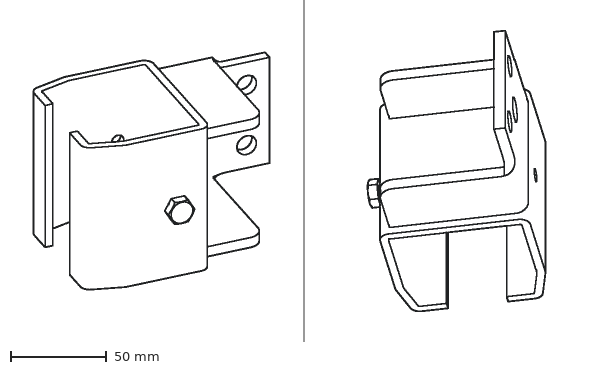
import cadquery as cq
import math


CLAMP_WIDTH = 80.0
CLAMP_DEPTH = 70.0
CLAMP_HEIGHT = 85.0
CLAMP_THICKNESS = 4.5
CLAMP_BEND_RADIUS = 5.5
STRAIGHT_SIDE_DEPTH = 48.5
KINK_ANGLE = math.radians(15)
FRONT_SLOT_WIDTH = 32.0

SCREW_DIAMETER = 8.0
SCREW_TIP_CHAMFER = 1.2
SCREW_DEPTH = 20.0
SIDE_SCREW_LENGTH = 9.8
HEAD_ACROSS_FLATS = 13.0
HEAD_THICKNESS = 5.3
HEAD_GAP = 3.0
HEAD_CHAMFER_ANGLE = math.radians(30)
HEAD_FACE_DIAMETER = 12.5
BACK_SCREW_PROTRUSION = 3.1
TAPPED_HOLE_DIAMETER = 6.8

OVERALL_LENGTH = 136.0
PLATE_LENGTH = OVERALL_LENGTH - CLAMP_DEPTH
PLATE_THICKNESS = 6.0
PLATE_BEND_RADIUS = 6.7
BRACKET_HEIGHT = 76.7
FLANGE_WIDTH = 74.0
FLANGE_LENGTH = 33.2
FLANGE_CORNER_RADIUS = 8.0
RELIEF_RADIUS = 8.0
SMALL_HOLE_DIAMETER = 11.0
SMALL_HOLE_SPACING = 36.0
SMALL_HOLE_END_DISTANCE = 13.0
LARGE_HOLE_DIAMETER = 13.0
LARGE_HOLE_END_DISTANCE = 27.2

LEFT = -CLAMP_WIDTH / 2
RIGHT = CLAMP_WIDTH / 2

BEND_LENGTH = (PLATE_BEND_RADIUS - PLATE_THICKNESS / 2) * math.pi / 2
RELIEF_END = FLANGE_LENGTH + RELIEF_RADIUS
RELIEF_CURVE_POINTS = 13
RELIEF_CLEARANCE = 0.3


def make_clamp_shell():
    """Rounded hexagonal tube with the front slot cut out."""
    lip_inset = (CLAMP_DEPTH - STRAIGHT_SIDE_DEPTH) * math.tan(KINK_ANGLE)
    corners = [
        (LEFT, 0),
        (LEFT, -STRAIGHT_SIDE_DEPTH),
        (LEFT + lip_inset, -CLAMP_DEPTH),
        (RIGHT - lip_inset, -CLAMP_DEPTH),
        (RIGHT, -STRAIGHT_SIDE_DEPTH),
        (RIGHT, 0),
    ]
    base = cq.Workplane("XY").workplane(offset=-CLAMP_HEIGHT / 2)
    outside = base.polyline(corners).close().extrude(CLAMP_HEIGHT).edges("|Z").fillet(CLAMP_BEND_RADIUS)
    outline = outside.faces("<Z").wires().val()
    inside = base.add(outline.offset2D(-CLAMP_THICKNESS)).toPending().extrude(CLAMP_HEIGHT)
    front_slot = cq.Workplane("XY").box(FRONT_SLOT_WIDTH, 2 * CLAMP_THICKNESS, CLAMP_HEIGHT)
    return outside.cut(inside).cut(front_slot.translate((0, -CLAMP_DEPTH, 0)))


def make_screw_shank(length):
    """Shank along +Z with its chamfered tip at the origin."""
    shank = cq.Workplane("XY").circle(SCREW_DIAMETER / 2).extrude(length)
    return shank.faces("<Z").chamfer(SCREW_TIP_CHAMFER)


def make_screw_head():
    """Hexagonal head along +Z, two corners on the Y axis, outer corners bevelled by a cone."""
    across_corners = HEAD_ACROSS_FLATS / math.cos(math.pi / 6)
    bevel_depth = (across_corners - HEAD_FACE_DIAMETER) / 2 * math.tan(HEAD_CHAMFER_ANGLE)
    hexagon = cq.Workplane("XY").polygon(6, across_corners).extrude(HEAD_THICKNESS)
    hexagon = hexagon.rotate((0, 0, 0), (0, 0, 1), 90)
    envelope = (
        cq.Workplane("XZ")
        .moveTo(0, 0)
        .lineTo(across_corners / 2, 0)
        .lineTo(across_corners / 2, HEAD_THICKNESS - bevel_depth)
        .lineTo(HEAD_FACE_DIAMETER / 2, HEAD_THICKNESS)
        .lineTo(0, HEAD_THICKNESS)
        .close()
        .revolve(360, (0, 0), (0, 1))
    )
    return hexagon.intersect(envelope)


def make_side_screw():
    """Headed screw through the right side wall, tip pointing to -X."""
    screw = make_screw_shank(SIDE_SCREW_LENGTH)
    screw = screw.union(make_screw_head().translate((0, 0, SIDE_SCREW_LENGTH)))
    tip_x = RIGHT + HEAD_GAP - SIDE_SCREW_LENGTH
    return screw.rotate((0, 0, 0), (0, 1, 0), 90).translate((tip_x, -SCREW_DEPTH, 0))


def make_back_screw():
    """Screw end through the back wall, tip pointing to -Y and flush with the outer back face."""
    length = CLAMP_THICKNESS + BACK_SCREW_PROTRUSION
    return make_screw_shank(length).rotate((0, 0, 0), (1, 0, 0), -90).translate((0, -length, 0))


def make_rail_clamp():
    tapped_hole = (
        cq.Workplane("YZ", origin=(LEFT, 0, 0))
        .center(-SCREW_DEPTH, 0)
        .circle(TAPPED_HOLE_DIAMETER / 2)
        .extrude(CLAMP_THICKNESS)
    )
    return make_clamp_shell().cut(tapped_hole).union(make_side_screw()).union(make_back_screw())


def relief_height(distance):
    """Y of the relief arc at a distance along the flat sheet from the start of the bend."""
    across = RELIEF_RADIUS - distance
    return RELIEF_END - math.sqrt(RELIEF_RADIUS**2 - across**2)


def make_bracket_channel():
    """U section with both flanges, as long as the bend relief reaches."""
    channel = (
        cq.Workplane("XY")
        .box(FLANGE_WIDTH, RELIEF_END, BRACKET_HEIGHT, centered=(False, False, True))
        .translate((LEFT, 0, 0))
        .edges("|Y and <X")
        .fillet(PLATE_BEND_RADIUS)
    )
    hollow = (
        cq.Workplane("XY")
        .box(FLANGE_WIDTH, RELIEF_END, BRACKET_HEIGHT - 2 * PLATE_THICKNESS, centered=(False, False, True))
        .translate((LEFT + PLATE_THICKNESS, 0, 0))
        .edges("|Y and <X")
        .fillet(PLATE_BEND_RADIUS - PLATE_THICKNESS)
    )
    return channel.cut(hollow)


def make_flange_end_cutter():
    """Waste beyond the flange ends, leaving a rounded free corner and the end of the relief arc."""
    flange_end = LEFT + FLANGE_WIDTH
    bend_line = LEFT + PLATE_BEND_RADIUS
    bend_end_y = relief_height(BEND_LENGTH)
    middle_of_runout = (BEND_LENGTH + RELIEF_RADIUS) / 2
    return (
        cq.Workplane("XY")
        .workplane(offset=-BRACKET_HEIGHT / 2)
        .moveTo(bend_line, RELIEF_END)
        .lineTo(bend_line, bend_end_y)
        .threePointArc(
            (bend_line + middle_of_runout - BEND_LENGTH, relief_height(middle_of_runout)),
            (bend_line + RELIEF_RADIUS - BEND_LENGTH, FLANGE_LENGTH),
        )
        .lineTo(flange_end - FLANGE_CORNER_RADIUS, FLANGE_LENGTH)
        .radiusArc((flange_end, FLANGE_LENGTH - FLANGE_CORNER_RADIUS), FLANGE_CORNER_RADIUS)
        .lineTo(flange_end, RELIEF_END)
        .close()
        .extrude(BRACKET_HEIGHT)
    )


def make_bend_relief():
    """Cutter for the upper bend: the relief arc wrapped round the bend, swept towards +Y."""
    axis_x = LEFT + PLATE_BEND_RADIUS
    axis_z = BRACKET_HEIGHT / 2 - PLATE_BEND_RADIUS

    def wrapped_arc(radius):
        points = []
        for step in range(RELIEF_CURVE_POINTS):
            fraction = step / (RELIEF_CURVE_POINTS - 1)
            part_of_bend = fraction**2
            angle = part_of_bend * math.pi / 2
            x = axis_x - radius * math.cos(angle)
            z = axis_z + radius * math.sin(angle)
            points.append(cq.Vector(x, relief_height(part_of_bend * BEND_LENGTH), z))
        return cq.Edge.makeSpline(points)

    inner = wrapped_arc(PLATE_BEND_RADIUS - PLATE_THICKNESS - RELIEF_CLEARANCE)
    outer = wrapped_arc(PLATE_BEND_RADIUS + RELIEF_CLEARANCE)
    relief_face = cq.Face.makeRuledSurface(inner, outer)
    return cq.Workplane(cq.Solid.extrudeLinear(relief_face, cq.Vector(0, 2 * RELIEF_RADIUS, 0)))


def make_wall_plate():
    """Flat plate between the two bends."""
    width = BRACKET_HEIGHT - 2 * PLATE_BEND_RADIUS
    plate = cq.Workplane("XY").box(PLATE_THICKNESS, PLATE_LENGTH, width, centered=(False, False, True))
    return plate.translate((LEFT, 0, 0))


def make_fixing_hole(diameter, end_distance, z):
    """Cutter through the wall plate, placed from the plate tip."""
    plate_face = cq.Workplane("YZ", origin=(LEFT, PLATE_LENGTH - end_distance, z))
    return plate_face.circle(diameter / 2).extrude(PLATE_THICKNESS)


def make_wall_bracket():
    upper_relief = make_bend_relief()
    lower_relief = upper_relief.mirror("XY")
    channel = make_bracket_channel().cut(make_flange_end_cutter()).cut(upper_relief).cut(lower_relief)
    bracket = channel.union(make_wall_plate())
    for side in (-1, 1):
        hole_z = side * SMALL_HOLE_SPACING / 2
        bracket = bracket.cut(make_fixing_hole(SMALL_HOLE_DIAMETER, SMALL_HOLE_END_DISTANCE, hole_z))
    return bracket.cut(make_fixing_hole(LARGE_HOLE_DIAMETER, LARGE_HOLE_END_DISTANCE, 0))


rail_clamp = make_rail_clamp()
wall_bracket = make_wall_bracket()
result = cq.Compound.makeCompound([rail_clamp.solids().val(), wall_bracket.solids().val()])